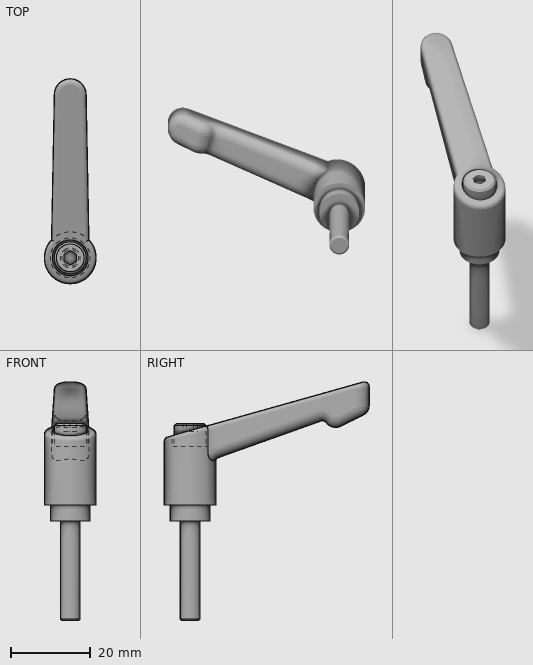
import cadquery as cq
import math

TOTAL_HEIGHT = 60.0
HUB_WIDTH = 13.0
HUB_RADIUS = HUB_WIDTH / 2
TOTAL_LENGTH = 51.5
ARM_END_Y = TOTAL_LENGTH - HUB_RADIUS

STUD_DIAMETER = 5.0
STUD_CHAMFER = 0.4
STUD_LENGTH = 25.0
COLLAR_DIAMETER = 10.0
HUB_BOTTOM_Z = 29.05

TOP_SLOPE = math.radians(15.7)
TOP_EDGE_RADIUS = 1.2
HUB_RIM_RADIUS = 1.0

PRISM_MARGIN = 0.6

ARM_TIP_RADIUS = 4.0
ARM_ROOT_HALF_WIDTH = 4.8
ARM_ROOT_Y = 4.45
ARM_ROOT_BOTTOM_Z = 40.0
ROOT_OVERLAP_DEPTH = 4.8
ROOT_CORNER_RADIUS = 4.8
BOTTOM_EDGE_RADIUS = 2.6
TIP_BOTTOM_Z = 52.4
BULGE_Y, BULGE_Z = 35.75, 47.8
BULGE_RADIUS = 2.9
VALLEY_Y, VALLEY_Z = 33.6, 50.4
VALLEY_RADIUS = 1.2

SCREW_TOP_Z = 49.5
SCREW_RADIUS = 4.0
SCREW_CHAMFER = 0.55
RECESS_RADIUS = 4.5
RECESS_FLOOR_Z = 43.8
HEX_ACROSS_FLATS = 3.1
HEX_DEPTH = 2.0

PICK_TOLERANCE = 0.005

tip_round_center_y = ARM_END_Y - TOP_EDGE_RADIUS
tip_round_center_z = TOTAL_HEIGHT - TOP_EDGE_RADIUS


def top_z(y):
    """Height of the sloping top plane at a given Y."""
    return (tip_round_center_z + TOP_EDGE_RADIUS / math.cos(TOP_SLOPE)
            + (y - tip_round_center_y) * math.tan(TOP_SLOPE))


def side_prism(points):
    """Closed YZ outline extruded symmetrically across the whole hub width."""
    return cq.Workplane("YZ").polyline(points).close().extrude(HUB_RADIUS + PRISM_MARGIN, both=True)


def cylinder(radius, bottom_z, top):
    return cq.Workplane("XY").workplane(offset=bottom_z).circle(radius).extrude(top - bottom_z)


def edges_at(body, y, z):
    """Select the transverse edge of a side prism that passes through (y, z)."""
    return body.edges(cq.NearestToPointSelector((0, y, z)))


def in_top_plane(edge):
    samples = [edge.positionAt(t) for t in (0, 1 / 3, 2 / 3, 1)]
    return all(abs(p.z - top_z(p.y)) < PICK_TOLERANCE for p in samples)


def make_hub():
    reach = HUB_RADIUS + PRISM_MARGIN
    below_top = side_prism([
        (-reach, HUB_BOTTOM_Z),
        (reach, HUB_BOTTOM_Z),
        (reach, top_z(reach)),
        (-reach, top_z(-reach)),
    ])
    hub = cylinder(HUB_RADIUS, HUB_BOTTOM_Z, TOTAL_HEIGHT).intersect(below_top)
    rim = [edge for edge in hub.edges().vals() if in_top_plane(edge)]
    return hub.newObject(rim).fillet(HUB_RIM_RADIUS)


def make_arm():
    root_z = ARM_ROOT_BOTTOM_Z - ROOT_OVERLAP_DEPTH
    root_back_y = 0
    profile = side_prism([
        (root_back_y, root_z),
        (ARM_ROOT_Y, root_z),
        (ARM_ROOT_Y, ARM_ROOT_BOTTOM_Z),
        (VALLEY_Y, VALLEY_Z),
        (BULGE_Y, BULGE_Z),
        (ARM_END_Y, TIP_BOTTOM_Z),
        (ARM_END_Y, top_z(ARM_END_Y)),
        (root_back_y, top_z(root_back_y)),
    ])
    profile = edges_at(profile, BULGE_Y, BULGE_Z).fillet(BULGE_RADIUS)
    profile = edges_at(profile, VALLEY_Y, VALLEY_Z).fillet(VALLEY_RADIUS)
    profile = edges_at(profile, ARM_ROOT_Y, ARM_ROOT_BOTTOM_Z).fillet(ROOT_CORNER_RADIUS)

    tip_center_y = ARM_END_Y - ARM_TIP_RADIUS
    length = tip_center_y - root_back_y
    taper = math.asin((ARM_ROOT_HALF_WIDTH - ARM_TIP_RADIUS) / length)
    tangent_x = ARM_TIP_RADIUS * math.cos(taper)
    tangent_y = tip_center_y + ARM_TIP_RADIUS * math.sin(taper)
    plan = (
        cq.Workplane("XY")
        .moveTo(-ARM_ROOT_HALF_WIDTH, root_back_y)
        .lineTo(ARM_ROOT_HALF_WIDTH, root_back_y)
        .lineTo(tangent_x, tangent_y)
        .threePointArc((0, ARM_END_Y), (-tangent_x, tangent_y))
        .close()
        .extrude(TOTAL_HEIGHT + PRISM_MARGIN)
    )
    arm = profile.intersect(plan)

    def outer_edges(belongs):
        kept = [e for e in arm.edges("not |X").edges("not |Z").vals() if belongs(e)]
        return arm.newObject(kept)

    arm = outer_edges(in_top_plane).fillet(TOP_EDGE_RADIUS)

    def on_underside(edge):
        middle = edge.positionAt(0.5)
        underside_z = ARM_ROOT_BOTTOM_Z + (middle.y - ARM_ROOT_Y) * (
            VALLEY_Z - ARM_ROOT_BOTTOM_Z) / (VALLEY_Y - ARM_ROOT_Y)
        return middle.z < underside_z + PRISM_MARGIN and middle.y > root_back_y + PICK_TOLERANCE

    return outer_edges(on_underside).fillet(BOTTOM_EDGE_RADIUS)


def make_lever():
    recess = cylinder(RECESS_RADIUS, RECESS_FLOOR_Z, TOTAL_HEIGHT)
    return make_hub().union(make_arm()).cut(recess)


def make_stud():
    shank = cylinder(STUD_DIAMETER / 2, 0, STUD_LENGTH).faces("<Z").chamfer(STUD_CHAMFER)
    collar = cylinder(COLLAR_DIAMETER / 2, STUD_LENGTH, HUB_BOTTOM_Z)
    return shank.union(collar)


def make_screw():
    head = cylinder(SCREW_RADIUS, RECESS_FLOOR_Z, SCREW_TOP_Z).faces(">Z").chamfer(SCREW_CHAMFER)
    socket = (
        cq.Workplane("XY")
        .workplane(offset=SCREW_TOP_Z - HEX_DEPTH)
        .transformed(rotate=(0, 0, 90))
        .polygon(6, HEX_ACROSS_FLATS / math.cos(math.pi / 6))
        .extrude(HEX_DEPTH)
    )
    return head.cut(socket)


lever = make_lever()
stud = make_stud()
screw = make_screw()
result = cq.Compound.makeCompound([lever.val(), stud.val(), screw.val()])